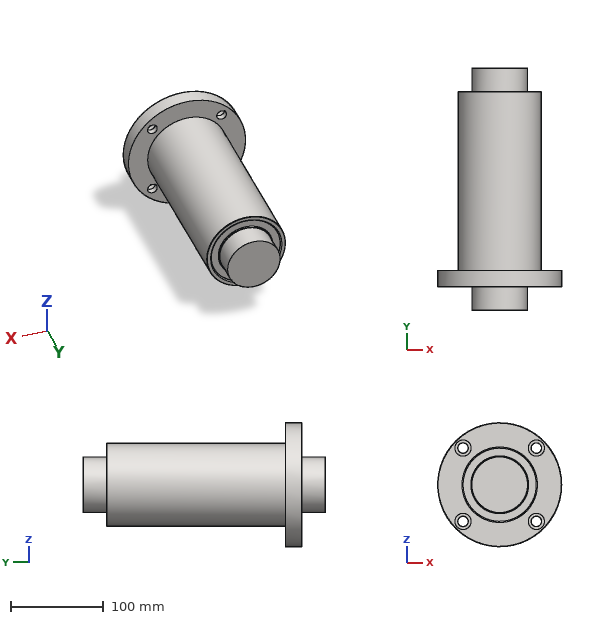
import cadquery as cq

total_length = 261.0
shaft_overhang = 25.0
flange_thickness = 18.0

shaft_diameter = 60.0
sleeve_diameter = 90.0
flange_diameter = 134.0
edge_chamfer = 0.5

recess_mouth_diameter = 81.5
recess_diameter = 78.8
mouth_depth = 1.3
recess_depth = 2.0

lip_base_diameter = 62.5
lip_tip_diameter = 61.0
lip_height = 1.3

hole_spacing = 79.0
hole_diameter = 11.0
counterbore_diameter = 17.5
counterbore_depth = 11.2

shaft_front = -total_length / 2
front_face = shaft_front + shaft_overhang
back_face = -front_face
flange_back = front_face + flange_thickness


def cylinder_y(diameter, y_start, y_end):
    """Solid cylinder on the Y axis between two stations."""
    plane = cq.Plane(origin=(0, y_start, 0), xDir=(1, 0, 0), normal=(0, 1, 0))
    return cq.Workplane(plane).circle(diameter / 2).extrude(y_end - y_start)


def make_seal_recess():
    """Ring-shaped cut at the front end of the sleeve that leaves the seal lip standing."""
    recess_floor = front_face + recess_depth
    lip_tip = recess_floor - lip_height
    profile = [
        (shaft_diameter / 2, front_face),
        (recess_mouth_diameter / 2, front_face),
        (recess_diameter / 2, front_face + mouth_depth),
        (recess_diameter / 2, recess_floor),
        (lip_base_diameter / 2, recess_floor),
        (lip_tip_diameter / 2, lip_tip),
        (shaft_diameter / 2, lip_tip),
    ]
    return cq.Workplane("XY").polyline(profile).close().revolve(360, (0, 0, 0), (0, 1, 0))


def make_mounting_hole():
    """Counterbored hole cutter on the Y axis."""
    hole = cylinder_y(hole_diameter, front_face, flange_back)
    counterbore = cylinder_y(counterbore_diameter, front_face, front_face + counterbore_depth)
    return hole.union(counterbore)


sleeve = cylinder_y(sleeve_diameter, front_face, back_face).faces(">Y").chamfer(edge_chamfer)
flange = cylinder_y(flange_diameter, front_face, flange_back).faces("<Y").chamfer(edge_chamfer)
housing = sleeve.union(flange)

front_recess = make_seal_recess()
back_recess = front_recess.mirror("XZ")
housing = housing.cut(front_recess).cut(back_recess)

mounting_hole = make_mounting_hole()
for x_sign in (-1, 1):
    for z_sign in (-1, 1):
        corner = (x_sign * hole_spacing / 2, 0, z_sign * hole_spacing / 2)
        housing = housing.cut(mounting_hole.translate(corner))

shaft = cylinder_y(shaft_diameter, shaft_front, -shaft_front)
result = housing.union(shaft)